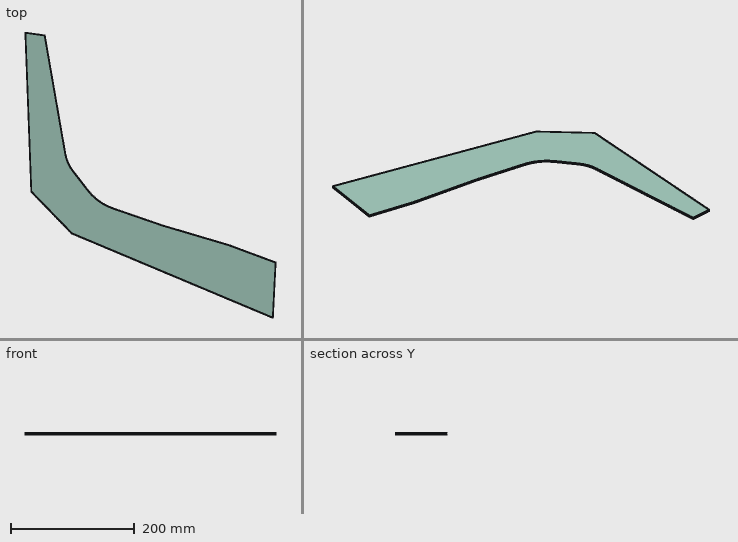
import cadquery as cq

LENGTH_X = 405.13
LENGTH_Y = 461.45
THICKNESS = 3.175

UPPER_ELBOW_RADIUS = 63.5
LOWER_ELBOW_RADIUS = 87.0

TIP_OUTER = (0, LENGTH_Y)
TIP_INNER = (31.6, 457.0)

OUTER_ELBOW_UPPER = (9.6, 204.3)
OUTER_ELBOW_LOWER = (75.4, 136.5)
INNER_ELBOW_UPPER = (67.6, 250.0)
INNER_ELBOW_LOWER = (117.2, 185.8)

LONG_ARM_FIRST_BEND = (222.2, 149.6)
LONG_ARM_SECOND_BEND = (329.2, 117.9)

END_UPPER = (LENGTH_X, 89.7)
END_LOWER = (400.6, 0)


def make_plate():
    """Sharp-cornered plate, lying on the XY plane."""
    outline = [
        TIP_OUTER,
        OUTER_ELBOW_UPPER,
        OUTER_ELBOW_LOWER,
        END_LOWER,
        END_UPPER,
        LONG_ARM_SECOND_BEND,
        LONG_ARM_FIRST_BEND,
        INNER_ELBOW_LOWER,
        INNER_ELBOW_UPPER,
        TIP_INNER,
    ]
    return cq.Workplane("XY").polyline(outline).close().extrude(THICKNESS)


def round_corner(plate, corner, radius):
    """Fillet the upright edge of the plate that stands at the given corner."""
    edge_middle = (corner[0], corner[1], THICKNESS / 2)
    return plate.edges("|Z").edges(cq.NearestToPointSelector(edge_middle)).fillet(radius)


plate = make_plate()
plate = round_corner(plate, INNER_ELBOW_UPPER, UPPER_ELBOW_RADIUS)
result = round_corner(plate, INNER_ELBOW_LOWER, LOWER_ELBOW_RADIUS)